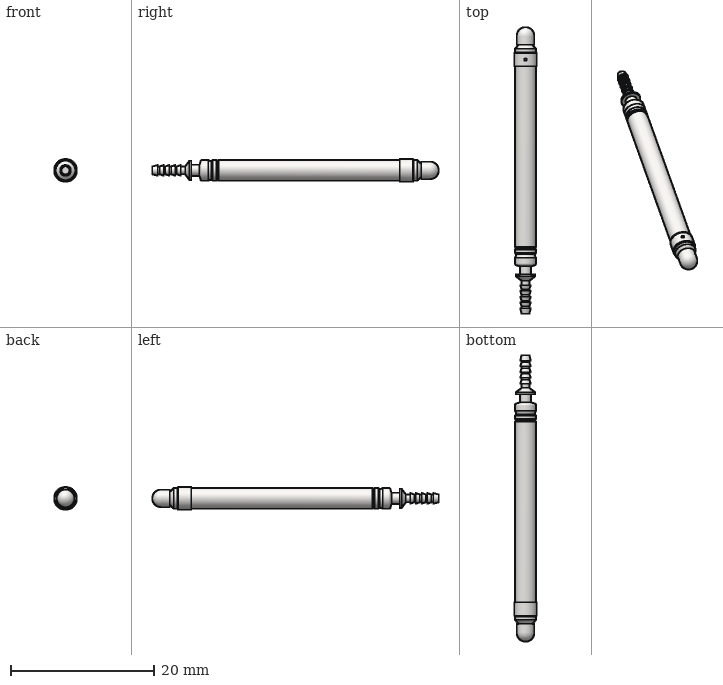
import cadquery as cq
import math

total_length = 40.0

plunger_radius = 1.25
plunger_length = 2.5

cone_small_radius = 0.95
cone_length = 0.55
barrel_radius = 1.5
collar_length = 0.5

ring_radius = 1.6
ring_length = 1.85
ring_chamfer_length = 0.1
ring_hole_diameter = 0.35
ring_hole_depth = 0.4
ring_hole_from_shoulder = 0.9

barrel_length = 25.2
groove_taper_length = 0.2
narrow_groove_width = 0.4
narrow_groove_depth = 0.1
land_length = 0.45
wide_groove_width = 0.7
wide_groove_depth = 0.15
end_band_length = 1.1
end_fillet = 0.3
end_cone_length = 0.1

neck_radius = 0.8
neck_length = 1.1
flange_radius = 1.35
flange_length = 0.3
flange_cone_length = 0.6
stem_radius = 0.55

barb_count = 5
barb_radius = 0.75
barb_length = 0.55
barb_pitch = 0.8

plunger_end = total_length - plunger_length
collar_start = plunger_end - cone_length
collar_end = collar_start - collar_length
ring_start = collar_end - ring_chamfer_length
ring_end = ring_start - ring_length
barrel_end = ring_end - barrel_length
land_start = barrel_end - narrow_groove_width
land_end = land_start - land_length
end_band_start = land_end - wide_groove_width
end_band_end = end_band_start - end_band_length
neck_start = end_band_end - end_cone_length
flange_start = neck_start - neck_length
flange_end = flange_start - flange_length
flange_cone_end = flange_end - flange_cone_length


def add_groove(profile, start, end, depth):
    """Continue the barrel outline through a groove: a taper, then an arc rising from the floor."""
    floor_radius = barrel_radius - depth
    floor = start - groove_taper_length
    run = floor - end
    arc_radius = (run**2 + depth**2) / (2 * depth)
    half_angle = math.atan2(depth, run)
    arc_middle = (
        floor_radius + arc_radius * (1 - math.cos(half_angle)),
        floor - arc_radius * math.sin(half_angle),
    )
    return profile.lineTo(floor_radius, floor).threePointArc(arc_middle, (barrel_radius, end))


def make_pin():
    """Revolve the half outline of the whole pin, without the barbs."""
    dome_centre = total_length - plunger_radius
    diagonal = plunger_radius * math.sqrt(0.5)
    fillet_inset = end_fillet * (1 - math.sqrt(0.5))
    profile = (
        cq.Workplane("XY")
        .moveTo(0, total_length)
        .threePointArc((diagonal, dome_centre + diagonal), (plunger_radius, dome_centre))
        .lineTo(plunger_radius, plunger_end)
        .lineTo(cone_small_radius, plunger_end)
        .lineTo(barrel_radius, collar_start)
        .lineTo(barrel_radius, collar_end)
        .lineTo(ring_radius, ring_start)
        .lineTo(ring_radius, ring_end)
        .lineTo(barrel_radius, ring_end)
        .lineTo(barrel_radius, barrel_end)
    )
    profile = add_groove(profile, barrel_end, land_start, narrow_groove_depth)
    profile = profile.lineTo(barrel_radius, land_end)
    profile = add_groove(profile, land_end, end_band_start, wide_groove_depth)
    profile = (
        profile.lineTo(barrel_radius, end_band_end + end_fillet)
        .threePointArc(
            (barrel_radius - fillet_inset, end_band_end + fillet_inset),
            (barrel_radius - end_fillet, end_band_end),
        )
        .lineTo(neck_radius, neck_start)
        .lineTo(neck_radius, flange_start)
        .lineTo(flange_radius, flange_start)
        .lineTo(flange_radius, flange_end)
        .lineTo(stem_radius, flange_cone_end)
        .lineTo(stem_radius, 0)
        .lineTo(0, 0)
        .close()
    )
    return profile.revolve(360, (0, 0, 0), (0, 1, 0))


def make_barb(tail_end, length):
    """One barb: widest at its +Y end, narrowing to the stem at tail_end."""
    return (
        cq.Workplane("XY")
        .moveTo(0, tail_end)
        .lineTo(stem_radius, tail_end)
        .lineTo(barb_radius, tail_end + length)
        .lineTo(0, tail_end + length)
        .close()
        .revolve(360, (0, 0, 0), (0, 1, 0))
    )


def make_ring_hole():
    """Cutter for the small blind hole in the top of the stop ring."""
    return (
        cq.Workplane("XY", origin=(0, ring_end + ring_hole_from_shoulder, ring_radius - ring_hole_depth))
        .circle(ring_hole_diameter / 2)
        .extrude(2 * ring_hole_depth)
    )


result = make_pin().cut(make_ring_hole())
result = result.union(make_barb(0, barb_pitch))
for barb in range(1, barb_count):
    barb_start = (barb + 1) * barb_pitch
    result = result.union(make_barb(barb_start - barb_length, barb_length))